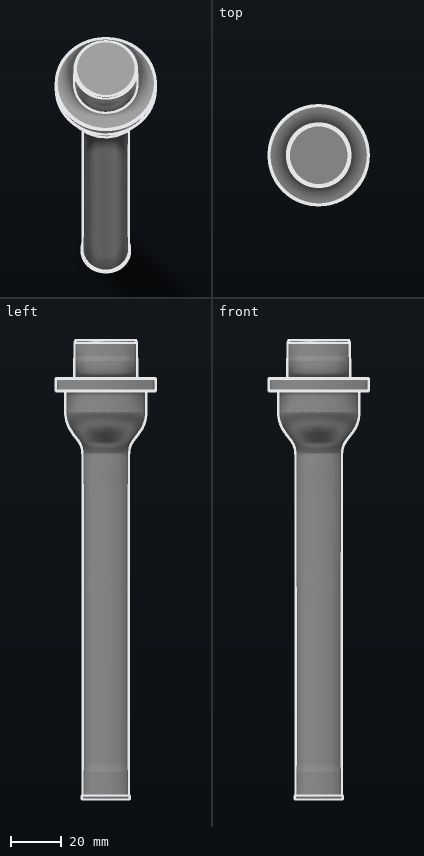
import cadquery as cq

TOTAL_HEIGHT = 181.0

BOSS_TOP_RADIUS = 24.6 / 2
BOSS_BASE_RADIUS = 25.0 / 2
BOSS_CHAMFER_HEIGHT = 1.3
BOSS_CHAMFER_WIDTH = 0.5
BOSS_TAPER_TOP_Z = 174.7
BOSS_TAPER_BASE_Z = 172.5

FLANGE_RADIUS = 39.5 / 2
FLANGE_TOP_Z = 166.0
FLANGE_THICKNESS = 5.2
FLANGE_CHAMFER = 0.4

BULB_RADIUS = 32.0 / 2
BULB_BASE_Z = 152.4
BULB_MIDDLE_RADIUS = 12.5
BULB_MIDDLE_Z = 143.4
NECK_END_Z = 136.1

STEM_RADIUS = 18.5 / 2
STEM_WAIST_RADIUS = 18.3 / 2
UPPER_TAPER_TOP_Z = 131.0
UPPER_TAPER_BASE_Z = 81.6
LOWER_TAPER_TOP_Z = 13.8
LOWER_TAPER_BASE_Z = 11.0

RING_OUTER_RADIUS = 9.6
RING_SECTION_RADIUS = 0.9
RING_CENTER_RADIUS = RING_OUTER_RADIUS - RING_SECTION_RADIUS
RING_CENTER_Z = RING_SECTION_RADIUS


def revolve_profile(profile):
    """Turn a closed half profile (radius, height) about the Z axis."""
    return profile.close().revolve(360, (0, 0, 0), (0, 1, 0))


def make_holder():
    flange_base_z = FLANGE_TOP_Z - FLANGE_THICKNESS

    bulb_curve = [(BULB_MIDDLE_RADIUS, BULB_MIDDLE_Z), (BULB_RADIUS, BULB_BASE_Z)]

    profile = (
        cq.Workplane("XZ")
        .moveTo(0, RING_CENTER_Z)
        .lineTo(STEM_RADIUS, RING_CENTER_Z)
        .lineTo(STEM_RADIUS, LOWER_TAPER_BASE_Z)
        .lineTo(STEM_WAIST_RADIUS, LOWER_TAPER_TOP_Z)
        .lineTo(STEM_WAIST_RADIUS, UPPER_TAPER_BASE_Z)
        .lineTo(STEM_RADIUS, UPPER_TAPER_TOP_Z)
        .lineTo(STEM_RADIUS, NECK_END_Z)
        .spline(bulb_curve, tangents=[(0, 1), (0, 1)], includeCurrent=True)
        .lineTo(BULB_RADIUS, flange_base_z)
        .lineTo(FLANGE_RADIUS - FLANGE_CHAMFER, flange_base_z)
        .lineTo(FLANGE_RADIUS, flange_base_z + FLANGE_CHAMFER)
        .lineTo(FLANGE_RADIUS, FLANGE_TOP_Z - FLANGE_CHAMFER)
        .lineTo(FLANGE_RADIUS - FLANGE_CHAMFER, FLANGE_TOP_Z)
        .lineTo(BOSS_BASE_RADIUS, FLANGE_TOP_Z)
        .lineTo(BOSS_BASE_RADIUS, BOSS_TAPER_BASE_Z)
        .lineTo(BOSS_TOP_RADIUS, BOSS_TAPER_TOP_Z)
        .lineTo(BOSS_TOP_RADIUS, TOTAL_HEIGHT - BOSS_CHAMFER_HEIGHT)
        .lineTo(BOSS_TOP_RADIUS - BOSS_CHAMFER_WIDTH, TOTAL_HEIGHT)
        .lineTo(0, TOTAL_HEIGHT)
    )
    return revolve_profile(profile)


def make_ring():
    section = cq.Workplane("XZ").center(RING_CENTER_RADIUS, RING_CENTER_Z).circle(RING_SECTION_RADIUS)
    return section.revolve(360, (-RING_CENTER_RADIUS, 0, 0), (-RING_CENTER_RADIUS, 1, 0))


ring = make_ring()
holder = make_holder().cut(ring)

result = cq.Compound.makeCompound([holder.val(), ring.val()])